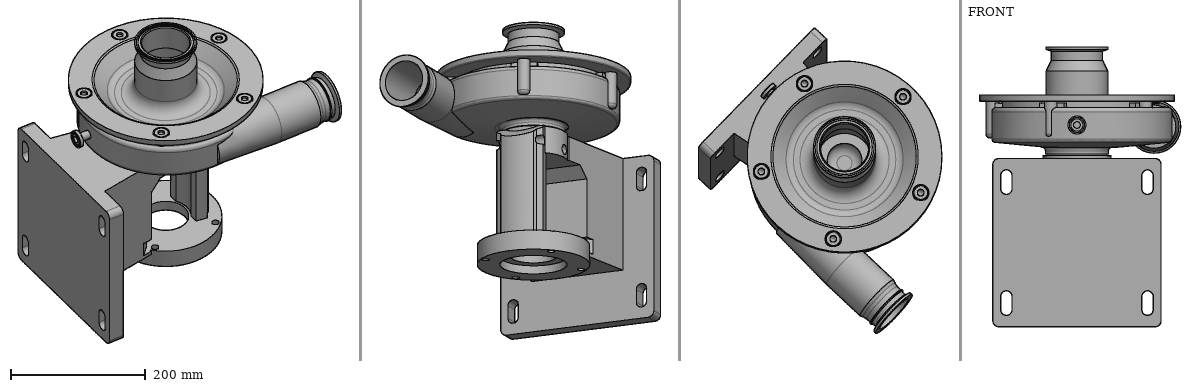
import cadquery as cq
import math


plate_size = 250.0
plate_back_y = -180.0
plate_thickness = 24.5
plate_corner_radius = 9.5
slot_width = 16.5
slot_length = 36.0
slot_offset_x = 104.5
slot_offset_z = 89.5
plate_front_y = plate_back_y + plate_thickness

hub_radius = 50.5
hub_bottom_z = 213.5
hub_top_z = 254.0
hub_hole_radius = 7.5
hub_hole_depth = 8.5
hub_hole_z = 225.8
arm_bottom_z = 77.5
arm_wide_half = 74.3
arm_narrow_half = 50.2
arm_tip_y = -16.0
arm_inner_y = -62.5
arm_brace = 17.5
bolt_relief = 16.0
bolt_relief_height = 22.5
ring_radius = 83.5
ring_bore_radius = 34.0
pilot_radius = 50.0
pilot_depth = 12.5
ring_bottom_z = 54.5
ring_top_z = 84.0
ring_hole_radius = 5.5
ring_hole_circle = 75.5
ring_hole_first_angle = 45
ring_hole_count = 4
post_front_y = 31.0
post_front_half = 35.0
post_side_half = 37.8
post_side_y = 49.0
post_groove_corner = (29.0, 53.0)
post_groove_end = (26.5, 58.0)
post_back_radius = 64.0
post_recess_radius = 37.5
post_chamfer_y = 20.8
post_chamfer_z = 17.0
post_hole_radius = 7.5
post_hole_y = 47.5
post_hole_z = 230.0

casing_radius = 133.5
casing_x = 7.5
casing_y = -3.0
casing_top_z = 325.5
casing_top_rounding = 6.5
casing_bottom_rounding = 5.0
casing_bottom_edge_z = 274.0
casing_cone_radius = 52.0
casing_cone_bottom_z = 266.0
neck_radius = 47.0
neck_foot_radius = 45.0
neck_foot_z = 256.0
neck_flare_z = 260.5
register_radius = 112.0
pad_width = 38.5
pad_reach = 121.0
pad_top_z = 331.5

cover_radius = 144.5
cover_top_z = 344.0
cover_bottom_z = 334.0
cover_rounding = 1.5
dish_rim_radius = 109.0
dish_top_radius = 106.2
dish_rim_drop = 1.2
dish_wall_angle = 45
dish_wall_foot = 86.7
dish_floor_outer = 76.0
dish_floor_inner = 66.0
inlet_radius = 46.0
inlet_neck_radius = 38.0
reducer_bottom_z = 379.0
reducer_top_z = 395.0
inlet_top_z = 415.0
inlet_bore_radius = 35.5
inlet_lip_chamfer = 1.5
inlet_bore_end_z = 374.7
suction_radius = 40.5
suction_floor_z = 315.5
eye_radius = 25.7
eye_floor_radius = 11.0
eye_depth = 20.8

screw_count = 5
screw_circle = 125.5
screw_first_angle = 36.0
screw_pocket_radius = 12.0
screw_head_radius = 10.5
screw_head_height = 6.2
screw_socket_radius = 5.0
screw_socket_depth = 3.5
lug_radius = 9.5
lug_bottom_z = 279.7
lug_rounding = 6.2

outlet_x = 114.5
outlet_z = 296.7
outlet_radius = 36.5
outlet_root_radius = 32.0
outlet_cone_end_y = 107.0
outlet_shoulder_y = 176.0
outlet_step_y = 181.0
outlet_step_radius = 34.5
outlet_collar_y = 186.8
outlet_collar_radius = 33.0
outlet_neck_radius = 32.5
outlet_ridge_width = 2.0
outlet_ridge_y = 196.0
outlet_end_y = 211.0
outlet_bore_radius = 30.5

clamp_edge_thickness = 3.7
clamp_taper = 3.0
outlet_clamp_radius = 39.5
groove_depth = 1.2
inlet_groove_inner = 41.0
inlet_groove_outer = 43.5
drain_groove_inner = 9.0
drain_groove_outer = 11.0

drain_z = 299.2
drain_stem_radius = 6.5
drain_flange_radius = 13.3
drain_bore_radius = 5.0
drain_bore_depth = 8.5
drain_tip_y = -159.0
drain_flange_thickness = 5.5


def cylinder(radius, bottom, top, x=0.0, y=0.0):
    return cq.Workplane("XY", origin=(x, y, bottom)).circle(radius).extrude(top - bottom)


def cylinder_y(radius, y_start, y_end, z):
    return cq.Workplane("XZ", origin=(0, y_start, z)).circle(radius).extrude(y_start - y_end)


def cylinder_x(radius, x_start, x_end, y, z):
    return cq.Workplane("YZ", origin=(x_start, y, z)).circle(radius).extrude(x_end - x_start)


def revolve_profile(profile):
    """Solid of revolution about the vertical axis of the profile's own plane."""
    return profile.close().revolve(360, (0, 0, 0), (0, 1, 0))


def wall_plate():
    plate = (
        cq.Workplane("XZ", origin=(0, plate_front_y, plate_size / 2))
        .rect(plate_size, plate_size)
        .extrude(plate_thickness)
        .edges("|Y")
        .fillet(plate_corner_radius)
    )
    slots = (
        cq.Workplane("XZ", origin=(0, plate_front_y, plate_size / 2))
        .rect(2 * slot_offset_x, 2 * slot_offset_z, forConstruction=True)
        .vertices()
        .slot2D(slot_length, slot_width, 90)
        .extrude(plate_thickness)
    )
    return plate.cut(slots)


def arm_half_width(y):
    slope = (arm_wide_half - arm_narrow_half) / (arm_tip_y - plate_front_y)
    return arm_narrow_half + slope * (arm_tip_y - y)


def bracket_arm():
    plan = (
        cq.Workplane("XY")
        .moveTo(-arm_wide_half, plate_front_y)
        .lineTo(arm_wide_half, plate_front_y)
        .lineTo(arm_narrow_half, arm_tip_y)
        .lineTo(-arm_narrow_half, arm_tip_y)
        .close()
        .extrude(plate_size)
    )
    side = (
        cq.Workplane("YZ", origin=(-arm_wide_half, 0, 0))
        .moveTo(plate_front_y, plate_size)
        .lineTo(arm_tip_y, plate_size)
        .lineTo(arm_tip_y, hub_bottom_z)
        .lineTo(arm_inner_y + arm_brace, hub_bottom_z)
        .lineTo(arm_inner_y, hub_bottom_z - arm_brace)
        .lineTo(arm_inner_y, arm_bottom_z)
        .lineTo(plate_front_y, arm_bottom_z)
        .close()
        .extrude(2 * arm_wide_half)
    )
    relief_y = arm_inner_y - bolt_relief
    relief_x = arm_half_width(relief_y)
    relief = (
        cq.Workplane("XY", origin=(0, 0, ring_top_z))
        .moveTo(-relief_x, relief_y)
        .lineTo(-relief_x + bolt_relief, arm_inner_y)
        .lineTo(-relief_x, arm_inner_y)
        .close()
        .extrude(bolt_relief_height)
    )
    return plan.intersect(side).cut(relief).cut(relief.mirror("YZ"))


def rear_post():
    corner_x, corner_y = post_groove_corner
    end_x, end_y = post_groove_end
    recess_half = math.sqrt(post_recess_radius**2 - post_front_y**2)
    post = (
        cq.Workplane("XY", origin=(0, 0, ring_bottom_z))
        .moveTo(-recess_half, post_front_y)
        .lineTo(-post_front_half, post_front_y)
        .lineTo(-post_side_half, post_side_y)
        .lineTo(-corner_x, corner_y)
        .lineTo(-end_x, end_y)
        .threePointArc((0, post_back_radius), (end_x, end_y))
        .lineTo(corner_x, corner_y)
        .lineTo(post_side_half, post_side_y)
        .lineTo(post_front_half, post_front_y)
        .lineTo(recess_half, post_front_y)
        .threePointArc((0, post_recess_radius), (-recess_half, post_front_y))
        .close()
        .extrude(hub_top_z - ring_bottom_z)
    )
    top_chamfer = (
        cq.Workplane("YZ", origin=(-post_side_half, 0, 0))
        .moveTo(post_back_radius, hub_top_z)
        .lineTo(post_back_radius - post_chamfer_y, hub_top_z)
        .lineTo(post_back_radius, hub_top_z - post_chamfer_z)
        .close()
        .extrude(2 * post_side_half)
    )
    return post.cut(top_chamfer)


def bracket():
    ring = cylinder(ring_radius, ring_bottom_z, ring_top_z)
    hub = cylinder(hub_radius, hub_bottom_z, hub_top_z)
    body = ring.union(rear_post()).cut(cylinder(ring_bore_radius, ring_bottom_z, ring_top_z))
    pilot = cylinder(pilot_radius, ring_bottom_z, ring_bottom_z + pilot_depth)
    bolt_holes = (
        cq.Workplane("XY", origin=(0, 0, ring_bottom_z))
        .polarArray(ring_hole_circle, ring_hole_first_angle, 360, ring_hole_count)
        .circle(ring_hole_radius)
        .extrude(ring_top_z - ring_bottom_z)
    )
    hub_hole = cylinder_x(hub_hole_radius, -hub_radius, hub_hole_depth - hub_radius, 0, hub_hole_z)
    post_hole = cylinder_x(post_hole_radius, -post_side_half, post_side_half, post_hole_y, post_hole_z)
    body = body.cut(pilot).cut(bolt_holes).union(hub).cut(hub_hole).cut(post_hole)
    return body.union(bracket_arm()).union(wall_plate())


def screw_points():
    step = 360 / screw_count
    angles = [math.radians(screw_first_angle + step * index) for index in range(screw_count)]
    return [(screw_circle * math.cos(angle), screw_circle * math.sin(angle)) for angle in angles]


def casing():
    body = revolve_profile(
        cq.Workplane("XZ")
        .moveTo(0, casing_cone_bottom_z)
        .lineTo(casing_cone_radius, casing_cone_bottom_z)
        .lineTo(casing_radius, casing_bottom_edge_z)
        .lineTo(casing_radius, casing_top_z)
        .lineTo(0, casing_top_z)
    )
    rim = cq.selectors.RadiusNthSelector(-1)
    body = body.edges(">Z").fillet(casing_top_rounding)
    body = body.edges(rim).edges("<Z").fillet(casing_bottom_rounding)
    return body.translate((casing_x, casing_y, 0))


def neck():
    flare_x = casing_cone_radius - neck_radius
    flare_z = casing_cone_bottom_z - neck_flare_z
    flare_middle = (
        casing_cone_radius - flare_x * math.sqrt(0.5),
        neck_flare_z + flare_z * math.sqrt(0.5),
    )
    return revolve_profile(
        cq.Workplane("XZ")
        .moveTo(0, hub_top_z)
        .lineTo(neck_foot_radius, hub_top_z)
        .lineTo(neck_foot_radius, neck_foot_z)
        .lineTo(neck_radius, neck_foot_z)
        .lineTo(neck_radius, neck_flare_z)
        .threePointArc(flare_middle, (casing_cone_radius, casing_cone_bottom_z))
        .lineTo(casing_cone_radius, casing_bottom_edge_z)
        .lineTo(0, casing_bottom_edge_z)
    )


def cover_seat():
    """Round register under the cover with a flat pad at each cover screw."""
    seat = cylinder(register_radius, casing_top_z, cover_bottom_z)
    pad = (
        cq.Workplane("XY", origin=(0, 0, casing_top_z))
        .center(pad_reach / 2, 0)
        .rect(pad_reach, pad_width)
        .extrude(pad_top_z - casing_top_z)
    )
    for index in range(screw_count):
        seat = seat.union(pad.rotate((0, 0, 0), (0, 0, 1), screw_first_angle + 360 / screw_count * index))
    return seat


def lugs():
    lug = cylinder(lug_radius, lug_bottom_z, cover_bottom_z).faces("<Z").edges().fillet(lug_rounding)
    return [lug.translate((x, y, 0)) for x, y in screw_points()]


def cover_dish():
    dish_slope = math.radians(dish_wall_angle)
    wall_rounding = (dish_wall_foot - dish_floor_outer) / math.sin(dish_slope)
    inlet_rounding = dish_floor_inner - inlet_radius
    wall_top_z = cover_top_z - dish_rim_drop
    wall_foot_z = wall_top_z - (dish_top_radius - dish_wall_foot) * math.tan(dish_slope)
    dish_floor_z = wall_foot_z - wall_rounding * (1 - math.cos(dish_slope))
    half_slope = dish_slope / 2
    wall_arc_middle = (
        dish_floor_outer + wall_rounding * math.sin(half_slope),
        dish_floor_z + wall_rounding * (1 - math.cos(half_slope)),
    )
    inlet_arc_middle = (
        dish_floor_inner - inlet_rounding * math.sqrt(0.5),
        dish_floor_z + inlet_rounding * (1 - math.sqrt(0.5)),
    )
    return revolve_profile(
        cq.Workplane("XZ")
        .moveTo(dish_rim_radius, cover_top_z)
        .lineTo(dish_top_radius, wall_top_z)
        .lineTo(dish_wall_foot, wall_foot_z)
        .threePointArc(wall_arc_middle, (dish_floor_outer, dish_floor_z))
        .lineTo(dish_floor_inner, dish_floor_z)
        .threePointArc(inlet_arc_middle, (inlet_radius, dish_floor_z + inlet_rounding))
        .lineTo(inlet_radius, cover_top_z)
    )


def clamp_levels(end):
    """Positions along the pipe of the back of the clamp rim and of the foot of its taper."""
    rim = end - clamp_edge_thickness
    return rim, rim - clamp_taper


def inlet_pipe():
    rim_z, taper_z = clamp_levels(inlet_top_z)
    return revolve_profile(
        cq.Workplane("XZ")
        .moveTo(0, cover_bottom_z)
        .lineTo(inlet_radius, cover_bottom_z)
        .lineTo(inlet_radius, reducer_bottom_z)
        .lineTo(inlet_neck_radius, reducer_top_z)
        .lineTo(inlet_neck_radius, taper_z)
        .lineTo(inlet_radius, rim_z)
        .lineTo(inlet_radius, inlet_top_z)
        .lineTo(0, inlet_top_z)
    )


def inlet_passage():
    bore = cylinder(inlet_bore_radius, inlet_bore_end_z, inlet_top_z)
    lip = (
        cq.Workplane("XY", origin=(0, 0, inlet_top_z - inlet_lip_chamfer))
        .circle(inlet_bore_radius)
        .workplane(offset=inlet_lip_chamfer)
        .circle(inlet_bore_radius + inlet_lip_chamfer)
        .loft()
    )
    groove = cylinder(inlet_groove_outer, inlet_top_z - groove_depth, inlet_top_z)
    groove = groove.cut(cylinder(inlet_groove_inner, inlet_top_z - groove_depth, inlet_top_z))
    chamber = cylinder(suction_radius, suction_floor_z, inlet_bore_end_z)
    eye = cylinder(eye_radius, suction_floor_z - eye_depth, suction_floor_z)
    eye = eye.faces("<Z").edges().fillet(eye_radius - eye_floor_radius)
    return bore.union(lip).union(groove).union(chamber).union(eye)


def screw_recess():
    """Ring-shaped gap round a flush screw head, with a cone-ended socket in the head."""
    gap = cylinder(screw_pocket_radius, cover_top_z - screw_head_height, cover_top_z)
    gap = gap.cut(cylinder(screw_head_radius, cover_top_z - screw_head_height, cover_top_z))
    socket = revolve_profile(
        cq.Workplane("XZ")
        .moveTo(0, cover_top_z)
        .lineTo(screw_socket_radius, cover_top_z)
        .lineTo(screw_socket_radius, cover_top_z - screw_socket_depth)
        .lineTo(0, cover_top_z - screw_socket_depth - screw_socket_radius)
    )
    return gap.union(socket)


def outlet_pipe():
    rim_y, taper_y = clamp_levels(outlet_end_y)
    ridge_start = outlet_ridge_y - outlet_ridge_width / 2
    ridge_end = outlet_ridge_y + outlet_ridge_width / 2
    pipe = (
        cq.Workplane("XY")
        .moveTo(0, 0)
        .lineTo(outlet_root_radius, 0)
        .lineTo(outlet_radius, outlet_cone_end_y)
        .lineTo(outlet_radius, outlet_shoulder_y)
        .lineTo(outlet_step_radius, outlet_step_y)
        .lineTo(outlet_collar_radius, outlet_collar_y)
        .lineTo(outlet_collar_radius, ridge_start)
        .lineTo(outlet_step_radius, ridge_start)
        .lineTo(outlet_step_radius, ridge_end)
        .lineTo(outlet_neck_radius, ridge_end)
        .lineTo(outlet_neck_radius, taper_y)
        .lineTo(outlet_clamp_radius, rim_y)
        .lineTo(outlet_clamp_radius, outlet_end_y)
        .lineTo(0, outlet_end_y)
    )
    return revolve_profile(pipe).translate((outlet_x, 0, outlet_z))


def outlet_bore():
    bore = cylinder_y(outlet_bore_radius, outlet_end_y, outlet_cone_end_y, outlet_z)
    return bore.translate((outlet_x, 0, 0))


def drain_port():
    root_y = casing_y - casing_radius + casing_bottom_rounding
    stem = cylinder_y(drain_stem_radius, root_y, drain_tip_y, drain_z)
    flange = cylinder_y(drain_flange_radius, drain_tip_y + drain_flange_thickness, drain_tip_y, drain_z)
    bore = cylinder_y(drain_bore_radius, drain_tip_y + drain_bore_depth, drain_tip_y, drain_z)
    groove_y = drain_tip_y + groove_depth
    groove = cylinder_y(drain_groove_outer, groove_y, drain_tip_y, drain_z)
    groove = groove.cut(cylinder_y(drain_groove_inner, groove_y, drain_tip_y, drain_z))
    return stem.union(flange).cut(bore).cut(groove)


cover_plate = cylinder(cover_radius, cover_bottom_z, cover_top_z).edges("<Z").fillet(cover_rounding)

pump = casing().union(neck()).union(outlet_pipe()).union(cover_seat())
for lug in lugs():
    pump = pump.union(lug)
pump = pump.union(cover_plate).cut(cover_dish())
for x, y in screw_points():
    pump = pump.cut(screw_recess().translate((x, y, 0)))
pump = pump.union(inlet_pipe()).cut(inlet_passage()).cut(outlet_bore()).union(drain_port())

result = pump.union(bracket())